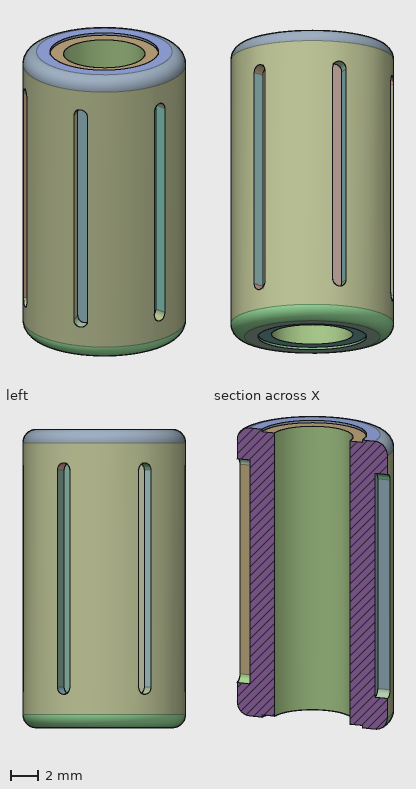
import cadquery as cq

outer_diameter = 12.0
length = 22.0
bore_diameter = 6.0
edge_radius = 1.0

recess_diameter = 8.0
recess_depth = 0.18

slot_count = 6
slot_width = 1.046
slot_arc_center_inset = 3.0
slot_depth = 1.0
first_slot_angle = 30.0

outer_radius = outer_diameter / 2
slot_length = length - 2 * slot_arc_center_inset + slot_width
slot_floor_distance = outer_radius - slot_depth


def make_sleeve():
    """Round bar with both outer edges rounded, bored from end to end."""
    bar = cq.Workplane("XY").circle(outer_radius).extrude(length)
    rounded = bar.edges("%CIRCLE").fillet(edge_radius)
    bore = cq.Workplane("XY").circle(bore_diameter / 2).extrude(length)
    return rounded.cut(bore)


def make_recess(bottom_height):
    """Disc that sinks the ring of end face around the bore."""
    plane = cq.Workplane("XY").workplane(offset=bottom_height)
    return plane.circle(recess_diameter / 2).extrude(recess_depth)


def make_slot(angle):
    """Groove cutter with a flat floor, reaching out past the wall at the given angle."""
    cutter_plane = cq.Workplane("YZ", origin=(slot_floor_distance, 0, length / 2))
    upright = 90
    cutter = cutter_plane.slot2D(slot_length, slot_width, upright).extrude(2 * slot_depth)
    return cutter.rotate((0, 0, 0), (0, 0, 1), angle)


result = make_sleeve()

for recess_bottom in (0, length - recess_depth):
    result = result.cut(make_recess(recess_bottom))

for index in range(slot_count):
    slot_angle = first_slot_angle + index * 360 / slot_count
    result = result.cut(make_slot(slot_angle))